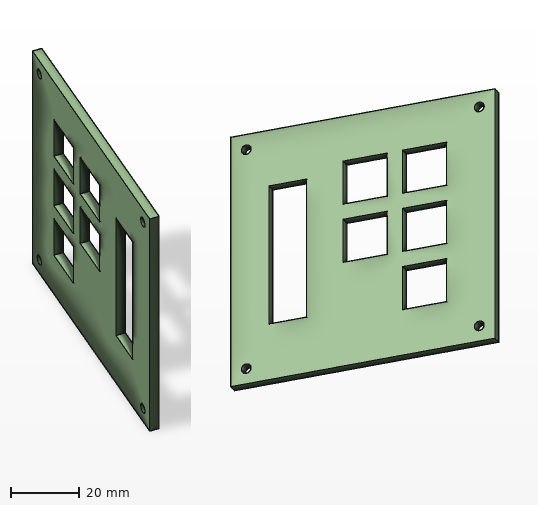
import cadquery as cq

plate_width = 84.4
plate_height = 81.4
plate_thickness = 3.0

screw_hole_diameter = 3.0
screw_hole_inset = 5.0

key_opening = 14.0
key_pitch = 19.0
first_key_x = -19.75
top_key_z = 19.2
keys_per_column = [3, 2]

slot_width = 12.0
slot_height = 45.0
slot_x = 24.0


def through_box(width, height, x, z):
    """Rectangular cutter that spans the plate thickness."""
    return cq.Workplane("XY").box(width, plate_thickness, height).translate((x, 0, z))


plate = cq.Workplane("XY").box(plate_width, plate_thickness, plate_height)

plate = (
    plate.faces("<Y")
    .workplane(centerOption="CenterOfBoundBox")
    .rect(plate_width - 2 * screw_hole_inset, plate_height - 2 * screw_hole_inset, forConstruction=True)
    .vertices()
    .hole(screw_hole_diameter)
)

for column, key_count in enumerate(keys_per_column):
    for row in range(key_count):
        key_x = first_key_x + column * key_pitch
        key_z = top_key_z - row * key_pitch
        plate = plate.cut(through_box(key_opening, key_opening, key_x, key_z))

result = plate.cut(through_box(slot_width, slot_height, slot_x, 0))